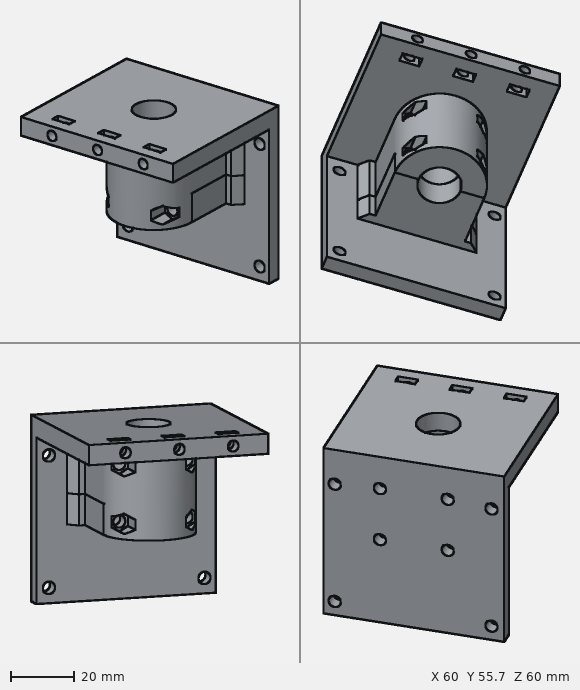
import cadquery as cq

CLEAR = 1.0

WIDTH = 60.0
HEIGHT = 60.0
WALL_THICKNESS = 5.0
SHELF_THICKNESS = 6.5
SHELF_REACH = 55.7
SHELF_FRONT_Y = -SHELF_REACH
SHELF_BOTTOM_Z = HEIGHT - SHELF_THICKNESS

CENTRE_X = 0.25

BARREL_RADIUS = 15.0
BORE_DIAMETER = 14.0
BORE_TO_WALL = 21.0
BORE_Y = -(WALL_THICKNESS + BORE_TO_WALL)

BARREL_HEIGHT = 28.5
BLOCK_HEIGHT = 10.0
BARREL_BOTTOM_Z = SHELF_BOTTOM_Z - BARREL_HEIGHT
SPLIT_Z = BARREL_BOTTOM_Z + BLOCK_HEIGHT

FOOT_WIDTH = 40.0
FOOT_THICKNESS = 3.0
FOOT_FRONT_WIDTH = FOOT_WIDTH - 2 * FOOT_THICKNESS

BOLT_DIAMETER = 4.0
BOLT_SPACING_X = 22.5
BOLT_END_DISTANCE = 5.0
BOLT_ROWS_Z = (BARREL_BOTTOM_Z + BOLT_END_DISTANCE, SHELF_BOTTOM_Z - BOLT_END_DISTANCE)
NUT_ACROSS_CORNERS = 6.5
NUT_SEAT_TO_BORE_AXIS = 5.0
NUT_SEAT_Y = BORE_Y - NUT_SEAT_TO_BORE_AXIS

MOUNT_DIAMETER = 4.0
MOUNT_SPACING_X = 52.0
MOUNT_ROWS_Z = (5.0, 47.5)

SCREW_DIAMETER = 3.5
SCREW_PITCH = 18.0
SCREW_DEPTH = 15.0
SLOT_WIDTH = 6.6
SLOT_LENGTH_Y = 3.0
SLOT_FRONT_GAP = 4.7
SLOT_Y = SHELF_FRONT_Y + SLOT_FRONT_GAP + SLOT_LENGTH_Y / 2
SCREW_X = (CENTRE_X - SCREW_PITCH, CENTRE_X, CENTRE_X + SCREW_PITCH)

BOLT_POINTS = [(side * BOLT_SPACING_X / 2, z) for side in (-1, 1) for z in BOLT_ROWS_Z]
MOUNT_POINTS = [(CENTRE_X + side * MOUNT_SPACING_X / 2, z) for side in (-1, 1) for z in MOUNT_ROWS_Z]


def xz_plane(y):
    """Plane facing -Y, so its sketch X and Y are the part's X and Z."""
    return cq.Workplane("XZ", origin=(0, y, 0))


def bore():
    """Cutter for the vertical bore, through everything."""
    return cq.Workplane("XY").center(CENTRE_X, BORE_Y).circle(BORE_DIAMETER / 2).extrude(HEIGHT + CLEAR)


def bolt_holes():
    """Cutters for the four bolts, through the wall, the block and the barrel."""
    length = SHELF_REACH + CLEAR
    return xz_plane(CLEAR).pushPoints(BOLT_POINTS).circle(BOLT_DIAMETER / 2).extrude(length)


def nut_pockets():
    """Hexagonal cutters with corners pointing up and down, open to the front of the barrel."""
    pockets = cq.Workplane("XY")
    for x, z in BOLT_POINTS:
        hexagon = (
            cq.Workplane("XZ", origin=(x, NUT_SEAT_Y, z))
            .transformed(rotate=(0, 0, 90))
            .polygon(6, NUT_ACROSS_CORNERS)
            .extrude(BARREL_RADIUS)
        )
        pockets = pockets.add(hexagon)
    return pockets.combine()


def straight_part(bottom_z, height):
    """Straight-sided stretch between the wall and the bore axis, with its foot."""
    foot_front_y = -WALL_THICKNESS - FOOT_THICKNESS
    return (
        cq.Workplane("XY", origin=(CENTRE_X, 0, bottom_z))
        .moveTo(-FOOT_WIDTH / 2, -WALL_THICKNESS)
        .lineTo(-FOOT_FRONT_WIDTH / 2, foot_front_y)
        .lineTo(-BARREL_RADIUS, foot_front_y)
        .lineTo(-BARREL_RADIUS, BORE_Y)
        .lineTo(BARREL_RADIUS, BORE_Y)
        .lineTo(BARREL_RADIUS, foot_front_y)
        .lineTo(FOOT_FRONT_WIDTH / 2, foot_front_y)
        .lineTo(FOOT_WIDTH / 2, -WALL_THICKNESS)
        .close()
        .extrude(height)
    )


def round_part():
    """Half-round front of the barrel, over its full height."""
    return (
        cq.Workplane("XY", origin=(CENTRE_X, BORE_Y, BARREL_BOTTOM_Z))
        .moveTo(-BARREL_RADIUS, 0)
        .threePointArc((0, -BARREL_RADIUS), (BARREL_RADIUS, 0))
        .close()
        .extrude(BARREL_HEIGHT)
    )


def angle_plate():
    """Wall and shelf as one L-shaped profile across the full width."""
    return (
        cq.Workplane("YZ", origin=(-WIDTH / 2, 0, 0))
        .moveTo(0, 0)
        .lineTo(0, HEIGHT)
        .lineTo(SHELF_FRONT_Y, HEIGHT)
        .lineTo(SHELF_FRONT_Y, SHELF_BOTTOM_Z)
        .lineTo(-WALL_THICKNESS, SHELF_BOTTOM_Z)
        .lineTo(-WALL_THICKNESS, 0)
        .close()
        .extrude(WIDTH)
    )


def mount_holes():
    """Cutters for the corner holes of the wall."""
    length = WALL_THICKNESS + 2 * CLEAR
    return xz_plane(CLEAR).pushPoints(MOUNT_POINTS).circle(MOUNT_DIAMETER / 2).extrude(length)


def shelf_screws():
    """Cutters for the blind screw holes in the shelf front and the nut slots that cross them."""
    screw_z = HEIGHT - SHELF_THICKNESS / 2
    holes = (
        xz_plane(SHELF_FRONT_Y + SCREW_DEPTH)
        .pushPoints([(x, screw_z) for x in SCREW_X])
        .circle(SCREW_DIAMETER / 2)
        .extrude(SCREW_DEPTH + CLEAR)
    )
    slots = (
        cq.Workplane("XY", origin=(0, 0, SHELF_BOTTOM_Z - CLEAR))
        .pushPoints([(x, SLOT_Y) for x in SCREW_X])
        .rect(SLOT_WIDTH, SLOT_LENGTH_Y)
        .extrude(SHELF_THICKNESS + 2 * CLEAR)
    )
    return holes.union(slots)


def make_bracket():
    """L-shaped bracket with all its holes and slots."""
    return angle_plate().cut(bore()).cut(bolt_holes()).cut(mount_holes()).cut(shelf_screws())


def make_barrel():
    """Bored barrel under the shelf: full-height round front and the upper straight-sided part."""
    return (
        straight_part(SPLIT_Z, BARREL_HEIGHT - BLOCK_HEIGHT)
        .union(round_part())
        .cut(bore())
        .cut(bolt_holes())
        .cut(nut_pockets())
    )


def make_block():
    """Block that fills the space below the straight-sided part of the barrel."""
    return straight_part(BARREL_BOTTOM_Z, BLOCK_HEIGHT).cut(bore()).cut(bolt_holes())


bracket = make_bracket()
barrel = make_barrel()
block = make_block()

result = cq.Compound.makeCompound([bracket.val(), barrel.val(), block.val()])